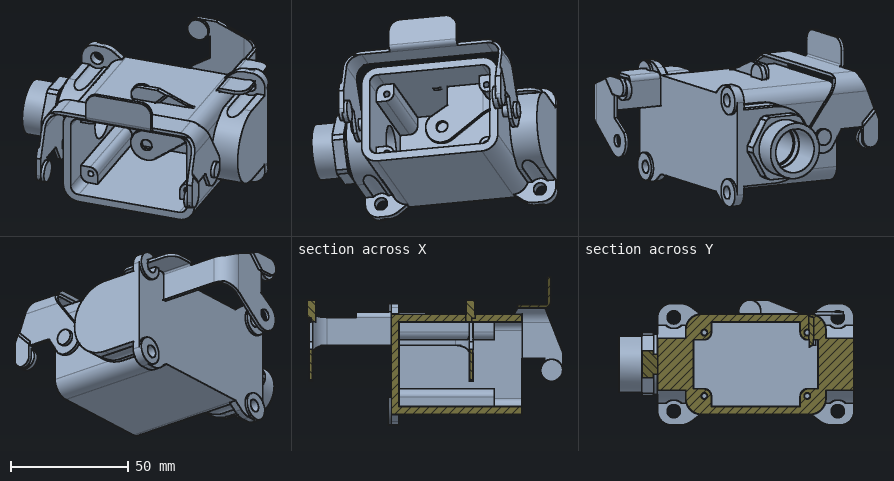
import cadquery as cq
import math


body_width = 60.0
body_height = 43.0
body_depth = 56.0
body_corner_radius = 7.0
wall = 3.5
cavity_width = body_width - 2 * wall
cavity_height = body_height - 2 * wall
cavity_depth = body_depth - wall
cavity_corner_radius = body_corner_radius - wall

post_size = 7.6
post_corner_radius = 3.5
post_recess = 11.9
post_hole_diameter = 2.5
post_hole_depth = 13.1
post_spacing_x = 44.0
post_spacing_z = 27.1

flange_width = 84.0
flange_height = 52.0
flange_thickness = 3.4
lug_pad_height = 1.1
mount_hole_diameter = 5.5
mount_spacing_x = 70.0
mount_spacing_z = 40.0
lug_radius = (flange_height - mount_spacing_z) / 2
lug_inner_radius = 8.5
lug_top_inner_x = 29.5
lug_root_x = 23.6
screwdriver_groove_diameter = 9.5

entry_axis_y = -19.0
entry_radius = 16.6
port_diameter = 17.0

gland_collar_diameter = 26.0
gland_collar_length = 1.6
nut_across_flats = 27.1
nut_corner_diameter = 30.0
nut_length = 5.0
gland_tube_diameter = 24.0
gland_tube_length = 9.8
gland_mouth_diameter = 18.9
gland_mouth_depth = 12.9
gland_bore_diameter = 18.4

sheet = 1.5
lever_half_width = 35.0
web_height = 25.5
lever_bend_inner_radius = 6.0
lever_bend_outer_radius = lever_bend_inner_radius + sheet
hinge_radius = 7.2
hinge_arc_middle_angle = math.radians(-60)
hinge_hole_diameter = 5.0
web_back = 8.1
web_front = 20.1
back_edge_foot = (-5.8, 4.3)
back_edge_bend = (4.5, 18.0)
hinge_flank_foot = (4.5, -5.7)
notch_corner = 9.6
notch_height = 2.4
hook_back = 19.7
hook_front = 27.5
hook_shoulder_height = 5.2
hook_radius = (hook_front - hook_back) / 2
hook_centre_height = -2.8
hook_thickening = 0.8
ramp_start = 10.9
ramp_length = 1.1
disc_diameter = 9.5
disc_centre = (hook_front - disc_diameter / 2, -2.6)
disc_thickness = 2.2
tab_width = 29.9
tab_top = 37.4
tab_corner_radius = 5.0
tab_bend_inner_radius = 0.8
tab_bend_outer_radius = tab_bend_inner_radius + sheet

clearance_span = 65.5

pin_axis_y = -45.8
pin_diameter = hinge_hole_diameter
pin_head_diameter = 7.0
pin_head_thickness = 1.5


def rounded_block(width, height, depth, radius, back_y):
    """Block with rounded long edges, reaching from back_y forward by depth along -Y."""
    block = cq.Workplane("XZ", origin=(0, back_y, 0)).rect(width, height).extrude(depth)
    return block.edges("|Y").fillet(radius)


def in_four_corners(quadrant):
    """Union of a +X +Z quadrant shape with its mirror images."""
    half = quadrant.union(quadrant.mirror("YZ"))
    return half.union(half.mirror("XY"))


def make_lug():
    half_height = flange_height / 2
    outline = [
        (lug_root_x, 0),
        (flange_width / 2, 0),
        (flange_width / 2, half_height),
        (lug_top_inner_x, half_height),
        (lug_root_x, body_height / 2),
    ]
    plate = cq.Workplane("XZ").polyline(outline).close().extrude(flange_thickness)
    plate = plate.edges("|Y and >X and >Z").fillet(lug_radius)
    inner_corner = cq.selectors.NearestToPointSelector((lug_top_inner_x, -flange_thickness / 2, half_height))
    plate = plate.edges(inner_corner).fillet(lug_inner_radius)

    pad_centre = (flange_width / 2 - lug_radius, lug_pad_height, half_height - lug_radius)
    pad = cq.Workplane("XZ", origin=pad_centre).circle(lug_radius).extrude(lug_pad_height)
    return plate.union(pad)


def make_entries():
    """D-shaped blocks on both sides of the body, flat towards the mounting face."""
    block = cq.Workplane("XY").box(flange_width, -entry_axis_y, 2 * entry_radius)
    block = block.translate((0, entry_axis_y / 2, 0))
    nose = cq.Workplane("YZ", origin=(-flange_width / 2, entry_axis_y, 0)).circle(entry_radius)
    return block.union(nose.extrude(flange_width))


def make_post():
    outer_x = cavity_width / 2
    outer_z = cavity_height / 2
    length = body_depth - wall - post_recess
    post = (
        cq.Workplane("XZ", origin=(outer_x - post_size / 2, -wall, outer_z - post_size / 2))
        .rect(post_size, post_size)
        .extrude(length)
    )
    return post.edges("|Y and <X and <Z").fillet(post_corner_radius)


def make_pin(side):
    """Hinge pin on one side of the body, with its head outside the lever."""
    start_x = body_width / 2 - wall / 2
    shank = cq.Workplane("YZ", origin=(start_x, pin_axis_y, 0)).circle(pin_diameter / 2)
    shank = shank.extrude(lever_half_width - start_x)
    head = cq.Workplane("YZ", origin=(lever_half_width, pin_axis_y, 0)).circle(pin_head_diameter / 2)
    pin = shank.union(head.extrude(pin_head_thickness))
    return pin if side > 0 else pin.mirror("YZ")


def mount_cylinders(diameter, back_y, length):
    """Four cylinders on the axes of the mounting holes, reaching from back_y along -Y."""
    plane = cq.Workplane("XZ", origin=(0, back_y, 0))
    centres = plane.rect(mount_spacing_x, mount_spacing_z, forConstruction=True).vertices()
    return centres.circle(diameter / 2).extrude(length)


def make_housing():
    body = rounded_block(body_width, body_height, body_depth, body_corner_radius, 0)
    housing = body.union(make_entries()).union(in_four_corners(make_lug()))

    cavity = rounded_block(cavity_width, cavity_height, cavity_depth, cavity_corner_radius, -wall)
    housing = housing.cut(cavity.cut(in_four_corners(make_post())))

    post_holes = cq.Workplane("XZ", origin=(0, post_recess - body_depth, 0))
    post_holes = post_holes.rect(post_spacing_x, post_spacing_z, forConstruction=True).vertices()
    housing = housing.cut(post_holes.circle(post_hole_diameter / 2).extrude(-post_hole_depth))

    hole_length = lug_pad_height + flange_thickness
    housing = housing.cut(mount_cylinders(mount_hole_diameter, lug_pad_height, hole_length))
    grooves = mount_cylinders(screwdriver_groove_diameter, -flange_thickness, body_depth)
    housing = housing.cut(grooves.cut(body))

    port = cq.Workplane("YZ", origin=(-flange_width / 2, entry_axis_y, 0)).circle(port_diameter / 2)
    housing = housing.cut(port.extrude(flange_width / 2))

    for side in (-1, 1):
        housing = housing.union(make_pin(side))
    return housing


def make_gland():
    def disc(x_right, diameter, length):
        plane = cq.Workplane("YZ", origin=(x_right, entry_axis_y, 0))
        return plane.circle(diameter / 2).extrude(-length)

    seat_x = -flange_width / 2
    nut_x = seat_x - gland_collar_length
    tube_x = nut_x - nut_length
    collar = disc(seat_x, gland_collar_diameter, gland_collar_length)
    hexagon = (
        cq.Workplane("YZ", origin=(nut_x, entry_axis_y, 0))
        .polygon(6, nut_across_flats / math.cos(math.pi / 6))
        .extrude(-nut_length)
    )
    nut = hexagon.intersect(disc(nut_x, nut_corner_diameter, nut_length))
    tube = disc(tube_x, gland_tube_diameter, gland_tube_length)
    gland = collar.union(nut).union(tube)
    length = gland_collar_length + nut_length + gland_tube_length
    gland = gland.cut(disc(seat_x, gland_bore_diameter, length))
    return gland.cut(disc(seat_x - length + gland_mouth_depth, gland_mouth_diameter, gland_mouth_depth))


def lever_side_profile():
    """Side outline of a lever, extruded across its full width; its front points towards -Y."""
    return (
        cq.Workplane("YZ", origin=(-clearance_span, 0, 0))
        .moveTo(-back_edge_foot[0], back_edge_foot[1])
        .lineTo(-back_edge_bend[0], back_edge_bend[1])
        .lineTo(-web_back, web_height - sheet)
        .lineTo(-web_back, web_height)
        .lineTo(-web_front, web_height)
        .lineTo(-web_front, web_height - sheet)
        .lineTo(-hook_front, hook_shoulder_height)
        .lineTo(-hook_front, hook_centre_height)
        .threePointArc(
            (-(hook_front + hook_back) / 2, hook_centre_height - hook_radius),
            (-hook_back, hook_centre_height),
        )
        .lineTo(-hook_back, notch_height)
        .lineTo(-notch_corner, notch_height)
        .lineTo(-hinge_flank_foot[0], hinge_flank_foot[1])
        .threePointArc(
            (hinge_radius * math.cos(hinge_arc_middle_angle), hinge_radius * math.sin(hinge_arc_middle_angle)),
            (-back_edge_foot[0], back_edge_foot[1]),
        )
        .close()
        .extrude(2 * clearance_span)
    )


def lever_channel():
    """U-shaped sheet, web on top, open downwards, running along Y."""
    def arch(half_width, top, radius):
        block = cq.Workplane("XZ", origin=(0, clearance_span, 0))
        block = block.center(0, top - clearance_span / 2).rect(2 * half_width, clearance_span)
        return block.extrude(2 * clearance_span).edges("|Y and >Z").fillet(radius)

    outer = arch(lever_half_width, web_height, lever_bend_outer_radius)
    return outer.cut(arch(lever_half_width - sheet, web_height - sheet, lever_bend_inner_radius))


def hook_zone():
    """Everything in front of the hook edge and below the slanting ramp line."""
    ramp_line = ramp_start * math.sqrt(2)
    outline = [
        (-hook_back, hook_back - ramp_line),
        (-clearance_span, clearance_span - ramp_line),
        (-clearance_span, -clearance_span),
        (-hook_back, -clearance_span),
    ]
    zone = cq.Workplane("YZ", origin=(-clearance_span, 0, 0)).polyline(outline).close()
    return zone.extrude(2 * clearance_span)


def thickening():
    """Layer on the outside of the +X side sheet that ramps up across the slanting line."""
    plane = cq.Plane(origin=(0, 0, 0), xDir=(0, -1, -1), normal=(0, -1, 1))
    inside = lever_half_width - sheet
    full = lever_half_width + hook_thickening
    outline = [
        (ramp_start, inside),
        (ramp_start, lever_half_width),
        (ramp_start + ramp_length, full),
        (clearance_span, full),
        (clearance_span, inside),
    ]
    return cq.Workplane(plane).polyline(outline).close().extrude(clearance_span, both=True)


def make_tab():
    """Thumb tab that bends up from the front edge of the web."""
    bend_centre_z = web_height + tab_bend_inner_radius
    tab_back_y = -web_front - tab_bend_inner_radius
    tab_front_y = -web_front - tab_bend_outer_radius
    diagonal = math.sqrt(0.5)

    def bend_point(radius):
        return (-web_front - radius * diagonal, bend_centre_z - radius * diagonal)

    tab = (
        cq.Workplane("YZ", origin=(-tab_width / 2, 0, 0))
        .moveTo(-web_front, web_height - sheet)
        .threePointArc(bend_point(tab_bend_outer_radius), (tab_front_y, bend_centre_z))
        .lineTo(tab_front_y, tab_top)
        .lineTo(tab_back_y, tab_top)
        .lineTo(tab_back_y, bend_centre_z)
        .threePointArc(bend_point(tab_bend_inner_radius), (-web_front, web_height))
        .close()
        .extrude(tab_width)
    )
    return tab.edges("|Y and >Z").fillet(tab_corner_radius)


def make_lever():
    """Lever with its hinge axis along X through the origin, web towards +Z, tab towards -Y."""
    profile = lever_side_profile()
    zone = hook_zone()
    lever = lever_channel().intersect(profile)

    hook = thickening().intersect(profile).intersect(zone)
    disc_outer_x = lever_half_width - sheet + hook_thickening
    disc = cq.Workplane("YZ", origin=(disc_outer_x, -disc_centre[0], disc_centre[1]))
    hook = hook.union(disc.circle(disc_diameter / 2).extrude(-disc_thickness))
    lever = lever.union(hook).union(hook.mirror("YZ")).union(make_tab())

    hinge_hole = cq.Workplane("YZ").circle(hinge_hole_diameter / 2).extrude(clearance_span, both=True)
    return lever.cut(hinge_hole)


front_lever = make_lever().translate((0, pin_axis_y, 0))

rear_lever = make_lever().rotate((0, 0, 0), (1, -1, 1), -120)

housing = make_housing().cut(rear_lever)
gland = make_gland()

result = cq.Compound.makeCompound([housing.val(), gland.val(), front_lever.val(), rear_lever.val()])